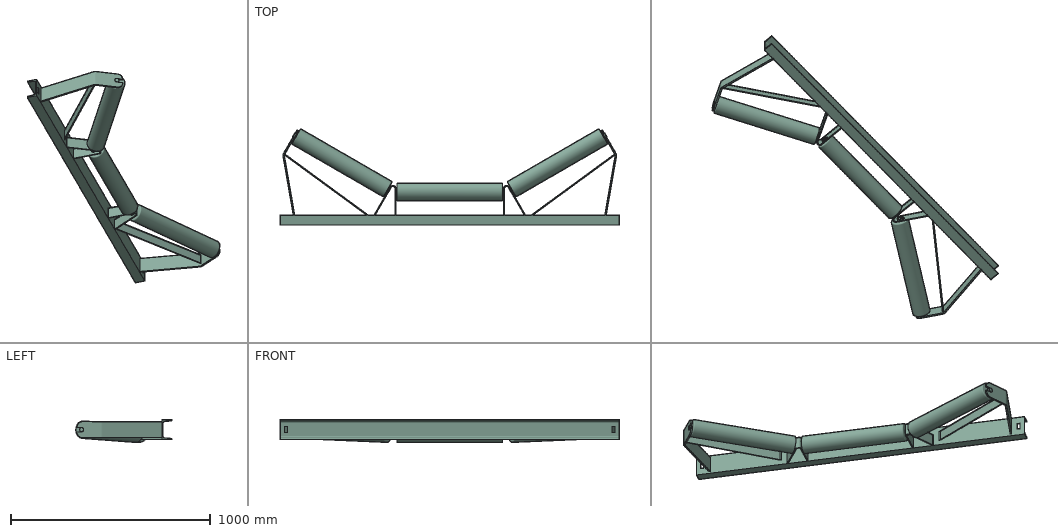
import cadquery as cq
import math

BEAM_LENGTH = 1700.0
BEAM_HEIGHT = 100.0
BEAM_DEPTH = 50.0
WEB_THICKNESS = 6.0
FLANGE_THICKNESS = 8.5
FLANGE_SLOPE = 0.08
ROOT_RADIUS = 8.5
TIP_RADIUS = 4.5
BOLT_SLOT_WIDTH = 14.0
BOLT_SLOT_HEIGHT = 30.0
BOLT_SLOT_INSET = 30.0

ROLLER_DIAMETER = 89.0
ROLLER_LENGTH = 530.0
ROLLER_EDGE_RADIUS = 5.0
SHAFT_DIAMETER = 22.0
SHAFT_PROTRUSION = 2.0
FACE_GAP = 5.0
TROUGH_ANGLE = 30.0
CENTRE_ROLLER_Y = 116.5
INNER_AXIS_Z = 30.0
OUTER_AXIS_Z = BEAM_HEIGHT / 2
SIDE_INNER_END = (-310.6, 129.85)

OUTER_THICKNESS = 8.0
OUTER_HEIGHT = 80.0
OUTER_FOOT_X = -780.5
OUTER_BEND_Y = 302.0
OUTER_BEND_RADIUS = 9.0
OUTER_TIP_REACH = 30.0
OUTER_TIP_CORNER = 28.0

INNER_THICKNESS = 5.0
INNER_HEIGHT = 60.0
INNER_TOP_Y = 148.0
INNER_BEND_RADIUS = 6.0

BRACE_THICKNESS = 5.0
BRACE_HEIGHT = 50.0
BRACE_FOOT_X = -412.0
BRACE_RISE = 5.0

TILT = math.degrees(math.asin((OUTER_AXIS_Z - INNER_AXIS_Z) / ROLLER_LENGTH))
OUTWARD = 180 - TROUGH_ANGLE
UPWARD = 90 - TROUGH_ANGLE


def moved(point, angle, distance):
    """Point shifted in the XY plane along a direction given in degrees."""
    turn = math.radians(angle)
    return point[0] + distance * math.cos(turn), point[1] + distance * math.sin(turn)


def at_height(point, angle, y):
    """Point where the line through a point, at an angle in degrees, reaches the given Y."""
    return moved(point, angle, (y - point[1]) / math.sin(math.radians(angle)))


def leg_start(bend, foot_x):
    """Start, inside the beam's depth, of a leg that crosses Y = 0 at the given X on its way to a bend."""
    angle = math.degrees(math.atan2(bend[1], bend[0] - foot_x))
    return at_height(bend, angle, -BEAM_DEPTH / 2)


SIDE_RUN = ROLLER_LENGTH * math.cos(math.radians(TILT))
SIDE_OUTER_END = moved(SIDE_INNER_END, OUTWARD, SIDE_RUN)
SIDE_CENTRE = (
    *moved(SIDE_INNER_END, OUTWARD, SIDE_RUN / 2),
    (INNER_AXIS_Z + OUTER_AXIS_Z) / 2,
)

OUTER_SHAFT_POINT = moved(SIDE_OUTER_END, OUTWARD, FACE_GAP + OUTER_THICKNESS / 2)
OUTER_TIP = moved(OUTER_SHAFT_POINT, UPWARD, OUTER_TIP_REACH)
OUTER_BEND = at_height(OUTER_TIP, UPWARD, OUTER_BEND_Y)


def rod(diameter, start, end):
    """Cylinder along X between two X positions."""
    plane = cq.Plane(origin=(start, 0, 0), xDir=(0, 0, 1), normal=(1, 0, 0))
    return cq.Workplane(plane).circle(diameter / 2).extrude(end - start)


def on_centre_axis(shape):
    return shape.translate((0, CENTRE_ROLLER_Y, INNER_AXIS_Z))


def on_side_axis(shape):
    """Move a shape built along X to the left roller's axis; its -X end becomes the outer end."""
    leaned = shape.rotate((0, 0, 0), (0, 1, 0), TILT)
    return leaned.rotate((0, 0, 0), (0, 0, 1), -TROUGH_ANGLE).translate(SIDE_CENTRE)


def flat_bar(points, thickness, height, middle_z, bend_radius=0):
    """Bar on edge along a middle line that starts behind Y = 0, where the bar is trimmed off."""
    path = cq.Workplane("XY").polyline(points).wire().val()
    if bend_radius:
        path = path.fillet2D(bend_radius + thickness / 2, path.Vertices()[1:-1])
    run = cq.Vector(*points[1]) - cq.Vector(*points[0])
    section = cq.Plane(origin=(*points[0], 0), xDir=(-run.y, run.x, 0), normal=run)
    bar = cq.Workplane(section).rect(thickness, height).sweep(cq.Workplane(path))
    behind_face = cq.Workplane("XY", origin=(0, -BEAM_DEPTH, 0)).box(
        BEAM_LENGTH, BEAM_DEPTH, 2 * height, centered=(True, False, True)
    )
    return bar.cut(behind_face).translate((0, 0, middle_z))


def beam():
    half = BEAM_HEIGHT / 2
    tip_z = half - FLANGE_THICKNESS + FLANGE_SLOPE * BEAM_DEPTH / 2
    root_z = tip_z - FLANGE_SLOPE * (BEAM_DEPTH - WEB_THICKNESS)
    outline = [
        (0, -half),
        (-BEAM_DEPTH, -half),
        (-BEAM_DEPTH, -tip_z),
        (-WEB_THICKNESS, -root_z),
        (-WEB_THICKNESS, root_z),
        (-BEAM_DEPTH, tip_z),
        (-BEAM_DEPTH, half),
        (0, half),
    ]
    profile = cq.Plane(origin=(-BEAM_LENGTH / 2, 0, half), xDir=(0, 1, 0), normal=(1, 0, 0))
    body = cq.Workplane(profile).polyline(outline).close().extrude(BEAM_LENGTH)

    def edges_at(y, z):
        margin = 1.0
        low = (-BEAM_LENGTH, y - margin, half - z - margin)
        high = (BEAM_LENGTH, y + margin, half + z + margin)
        return cq.selectors.BoxSelector(low, high)

    body = body.edges("|X").edges(edges_at(-WEB_THICKNESS, root_z)).fillet(ROOT_RADIUS)
    body = body.edges("|X").edges(edges_at(-BEAM_DEPTH, tip_z)).fillet(TIP_RADIUS)

    slot_x = BEAM_LENGTH / 2 - BOLT_SLOT_INSET
    slots = (
        cq.Workplane("XZ", origin=(0, 0, half))
        .pushPoints([(-slot_x, 0), (slot_x, 0)])
        .rect(BOLT_SLOT_WIDTH, BOLT_SLOT_HEIGHT)
        .extrude(BEAM_DEPTH)
    )
    return body.cut(slots)


def roller(shaft_start, shaft_end):
    """Roller centred on the origin along X, with its shaft between two X positions."""
    half = ROLLER_LENGTH / 2
    shell = rod(ROLLER_DIAMETER, -half, half).edges("%CIRCLE").fillet(ROLLER_EDGE_RADIUS)
    return shell.union(rod(SHAFT_DIAMETER, shaft_start, shaft_end))


def centre_roller():
    reach = ROLLER_LENGTH / 2 + FACE_GAP + INNER_THICKNESS
    return on_centre_axis(roller(-reach, reach))


def side_roller():
    half = ROLLER_LENGTH / 2
    outer_reach = half + FACE_GAP + OUTER_THICKNESS + SHAFT_PROTRUSION
    inner_reach = half + FACE_GAP + INNER_THICKNESS
    return on_side_axis(roller(-outer_reach, inner_reach))


def outer_bracket():
    """Bracket whose upper plate holds the side shaft in a slot open at the free end."""
    middle_line = [leg_start(OUTER_BEND, OUTER_FOOT_X), OUTER_BEND, OUTER_TIP]
    bar = flat_bar(middle_line, OUTER_THICKNESS, OUTER_HEIGHT, OUTER_AXIS_Z, OUTER_BEND_RADIUS)
    for side in (-1, 1):
        corner = (*OUTER_TIP, OUTER_AXIS_Z + side * OUTER_HEIGHT / 2)
        bar = bar.edges(cq.selectors.NearestToPointSelector(corner)).fillet(OUTER_TIP_CORNER)
    half = ROLLER_LENGTH / 2
    seat = rod(SHAFT_DIAMETER, -ROLLER_LENGTH, -half)
    mouth = cq.Workplane("XY", origin=(-ROLLER_LENGTH, 0, 0)).box(
        half, ROLLER_DIAMETER, SHAFT_DIAMETER, centered=(False, False, True)
    )
    return bar.cut(on_side_axis(seat)).cut(on_side_axis(mouth))


def inner_bracket():
    upright_x = -ROLLER_LENGTH / 2 - FACE_GAP - INNER_THICKNESS / 2
    bridge_y = INNER_TOP_Y - INNER_THICKNESS / 2
    side_point = moved(SIDE_INNER_END, OUTWARD, -FACE_GAP - INNER_THICKNESS / 2)
    middle_line = [
        leg_start((upright_x, bridge_y), upright_x),
        (upright_x, bridge_y),
        at_height(side_point, UPWARD, bridge_y),
        at_height(side_point, UPWARD, -BEAM_DEPTH / 2),
    ]
    bar = flat_bar(middle_line, INNER_THICKNESS, INNER_HEIGHT, INNER_AXIS_Z, INNER_BEND_RADIUS)
    centre_hole = on_centre_axis(rod(SHAFT_DIAMETER, -ROLLER_LENGTH, 0))
    side_hole = on_side_axis(rod(SHAFT_DIAMETER, 0, ROLLER_LENGTH))
    return bar.cut(centre_hole).cut(side_hole)


def brace():
    """Straight bar, cut off where it meets the outer bracket."""
    top = moved(OUTER_BEND, UPWARD, BRACE_RISE)
    middle_line = [leg_start(top, BRACE_FOOT_X), top]
    bar = flat_bar(middle_line, BRACE_THICKNESS, BRACE_HEIGHT, OUTER_AXIS_Z)
    return bar.cut(outer_bracket())


bodies = [beam().val(), centre_roller().solids().val()]
for left_body in (side_roller(), outer_bracket(), inner_bracket(), brace()):
    right_body = left_body.mirror("YZ")
    bodies += [left_body.solids().val(), right_body.solids().val()]

result = cq.Compound.makeCompound(bodies)